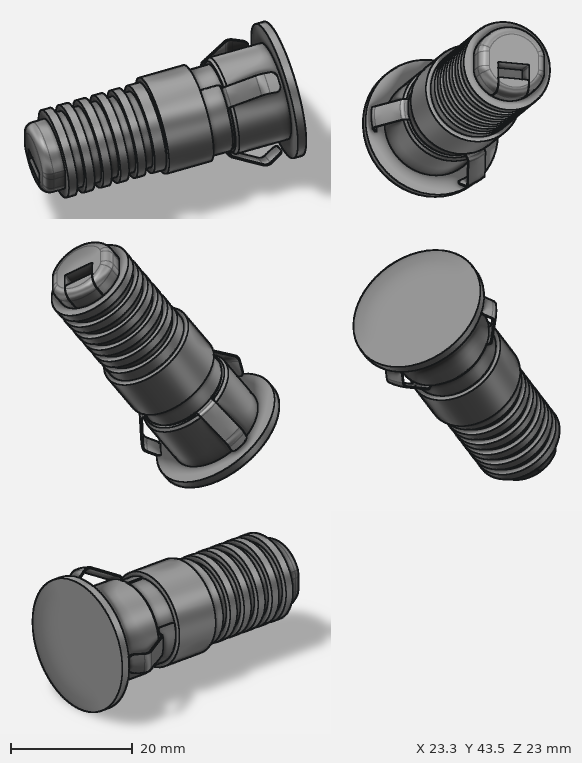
import cadquery as cq
import math

total_length = 43.5

flange_radius = 23.0 / 2
flange_thickness = 1.5
sleeve_radius = 16.5 / 2
sleeve_chamfer = 0.5
groove_start = 11.0
groove_end = 15.0
housing_end = 22.8

strip_thickness = 0.25
band_end = 14.88
band_corner_radius = 0.45
foot_depth = 11.4
foot_reach = 8.55
foot_corner_radius = 0.2
foot_bend_radius = 0.75
arm_count = 3
first_arm_angle = 62.5
band_overhang_angle = 20.0
arm_width = 3.5
arm_tilt = math.radians(30)
arm_peak_radius = 11.8
arm_peak_bend_radius = 1.5
arm_tip_depth = 2.4
arm_tip_corner_radius = 1.0
arm_sector_angle = 60.0

rib_radius = 15.0 / 2
rib_width = 1.5
rib_pitch = 3.0
rib_count = 5
collar_start = 23.0
collar_end = 25.0
neck_radius = 14.1 / 2
core_radius = 13.0 / 2
nose_length = 3.5
nose_radius = 12.0 / 2
nose_width_over_flats = 11.5
nose_corner_radius = 3.0
nose_edge_radius = 1.5

slot_width = 5.4
slot_top = -0.5
slot_corner_radius = 0.2
key_width = 5.18
key_top = -3.1

groove_radius = rib_radius - strip_thickness
nose_start = total_length - nose_length


def ring(inner_radius, outer_radius, start, end, angle=360):
    """A turned ring between two depths; a partial one starts at +X and runs toward -Z."""
    profile = cq.Workplane("XY").moveTo(inner_radius, -start).lineTo(outer_radius, -start)
    profile = profile.lineTo(outer_radius, -end).lineTo(inner_radius, -end).close()
    return profile.revolve(angle, (0, 0, 0), (0, 1, 0))


def disc(radius, start, end):
    return ring(0, radius, start, end)


def turned_to(body, angle):
    """Turn a body from +X toward +Z by an angle in degrees."""
    return body.rotate((0, 0, 0), (0, 1, 0), -angle)


def make_housing():
    flange = disc(flange_radius, 0, flange_thickness)
    sleeve = disc(sleeve_radius, flange_thickness, groove_start).faces("<Y").chamfer(sleeve_chamfer)
    groove_floor = disc(groove_radius, groove_start, groove_end)
    end_band = disc(sleeve_radius, groove_end, housing_end)
    return flange.union(sleeve).union(groove_floor).union(end_band)


def round_corner(face, corner, radius):
    """Round the corner of a flat face that lies at the given point."""
    vertex = min(face.Vertices(), key=lambda point: (point.Center() - corner).Length)
    return face.fillet2D(radius, [vertex])


def make_arm_profile():
    """Section of an arm along +X: a foot in the groove, a leg leaning outward, a tip leaning back in."""
    sine, cosine, tangent = math.sin(arm_tilt), math.cos(arm_tilt), math.tan(arm_tilt)

    foot_root = cq.Vector(groove_radius, -foot_depth)
    foot_corner = cq.Vector(foot_reach, -foot_depth)
    peak_radius = arm_peak_radius + arm_peak_bend_radius * (1 / cosine - 1)
    peak_depth = foot_depth - (peak_radius - foot_reach) / tangent
    peak = cq.Vector(peak_radius, -peak_depth)
    tip = cq.Vector(peak_radius - (peak_depth - arm_tip_depth) * tangent, -arm_tip_depth)

    inner_tip = tip + cq.Vector(-cosine, -sine) * strip_thickness
    inner_peak = peak - cq.Vector(strip_thickness / cosine, 0)
    inner_foot_corner = foot_corner + cq.Vector(tangent * sine - cosine, 1) * strip_thickness
    inner_foot_root = foot_root + cq.Vector(0, strip_thickness)

    corners = [foot_root, foot_corner, peak, tip, inner_tip, inner_peak, inner_foot_corner, inner_foot_root]
    face = cq.Face.makeFromWires(cq.Wire.makePolygon(corners, close=True))
    face = round_corner(face, foot_corner, foot_bend_radius)
    face = round_corner(face, inner_foot_corner, foot_bend_radius - strip_thickness)
    face = round_corner(face, peak, arm_peak_bend_radius)
    face = round_corner(face, inner_peak, arm_peak_bend_radius - strip_thickness)
    return round_corner(face, inner_foot_root, foot_corner_radius)


def make_arm():
    """One arm along +X: its turned section, trimmed to a strip of constant width."""
    sector = cq.Solid.revolve(make_arm_profile(), arm_sector_angle, cq.Vector(0, 0, 0), cq.Vector(0, 1, 0))
    sector = turned_to(cq.Workplane(sector), arm_sector_angle / 2)
    strip = (
        cq.Workplane("XY")
        .box(flange_radius * 2, foot_depth - arm_tip_depth, arm_width, centered=(False, False, True))
        .translate((0, -foot_depth, 0))
        .edges("|X and >Y")
        .fillet(arm_tip_corner_radius)
    )
    return sector.intersect(strip)


def make_spring_clip():
    arm_spacing = 360 / arm_count
    band_angle = (arm_count - 1) * arm_spacing + 2 * band_overhang_angle
    band = ring(groove_radius, rib_radius, foot_depth, band_end, band_angle)
    corner_length_limit = 2 * strip_thickness
    end_corners = [edge for edge in band.edges("%LINE").vals() if edge.Length() < corner_length_limit]
    clip = band.newObject(end_corners).fillet(band_corner_radius)
    clip = turned_to(clip, first_arm_angle + band_overhang_angle)
    arm = make_arm()
    for index in range(arm_count):
        clip = clip.union(turned_to(arm, first_arm_angle - index * arm_spacing))
    return clip


def make_nose():
    """A round nose with two side flats, rounded at its front edge."""
    flats = cq.Workplane("XY").box(nose_width_over_flats, nose_length, 2 * nose_radius)
    flats = flats.translate((0, -nose_start - nose_length / 2, 0))
    nose = disc(nose_radius, nose_start, total_length).intersect(flats)
    nose = nose.edges("|Y").edges("<X or >X").fillet(nose_corner_radius)
    return nose.faces("<Y").edges().fillet(nose_edge_radius)


def nose_block(width, top):
    """A block along the whole nose, from below it up to the given height."""
    block = cq.Workplane("XY").box(width, nose_length, nose_radius + top, centered=(True, False, False))
    return block.translate((0, -total_length, -nose_radius))


def make_ribbed_body():
    body = disc(core_radius, collar_start, nose_start)
    body = body.union(disc(neck_radius, housing_end, collar_start))
    body = body.union(disc(rib_radius, collar_start, collar_end))
    for index in range(rib_count):
        rib_end = nose_start - index * rib_pitch
        body = body.union(disc(rib_radius, rib_end - rib_width, rib_end))
    slot = nose_block(slot_width, slot_top).edges("|Y and >Z").fillet(slot_corner_radius)
    return body.union(make_nose().cut(slot))


def make_key():
    return make_nose().intersect(nose_block(key_width, key_top))


housing = make_housing()
spring_clip = make_spring_clip()
ribbed_body = make_ribbed_body()
key = make_key()

result = cq.Compound.makeCompound([housing.val(), spring_clip.val(), ribbed_body.val(), key.val()])